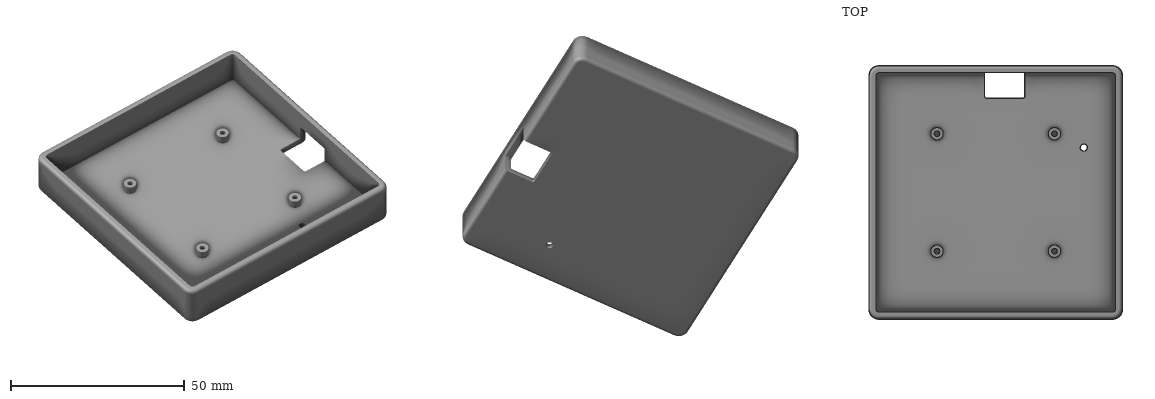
import cadquery as cq

side = 73.2
height = 12.5
wall = 2.05
floor = 2.05
corner_radius = 3.0
edge_radius = 1.0
cavity_corner_radius = corner_radius - wall

standoff_spacing = 33.9
standoff_diameter = 3.6
standoff_height = 2.5
pilot_diameter = 1.6

floor_hole_diameter = 2.0
floor_hole_x = 25.4
floor_hole_y = 12.95

opening_width = 11.6
opening_center_x = 2.55
opening_front_y = 27.2
opening_top_z = 6.95
opening_corner_radius = 0.5


def make_tray():
    """Rounded square tray, open at the top."""
    body = cq.Workplane("XY").rect(side, side).extrude(height)
    body = body.edges("|Z").fillet(corner_radius)
    body = body.faces("<Z or >Z").edges().fillet(edge_radius)
    cavity_side = side - 2 * wall
    cavity = cq.Workplane("XY", origin=(0, 0, floor)).rect(cavity_side, cavity_side).extrude(height)
    return body.cut(cavity.edges("|Z").fillet(cavity_corner_radius))


def make_opening():
    """Rounded block that removes part of the floor and the lower +Y wall."""
    length = side / 2 - opening_front_y + wall
    block = cq.Workplane("XY").box(opening_width, length, opening_top_z + floor, centered=(True, False, False))
    block = block.edges("|Z and <Y").fillet(opening_corner_radius)
    block = block.edges("|Y and >Z").fillet(opening_corner_radius)
    return block.translate((opening_center_x, opening_front_y, -floor))


def standoff_cylinders(diameter):
    """Four cylinders standing on the floor at the standoff positions."""
    return (
        cq.Workplane("XY", origin=(0, 0, floor))
        .rect(standoff_spacing, standoff_spacing, forConstruction=True)
        .vertices()
        .circle(diameter / 2)
        .extrude(standoff_height)
    )


floor_hole = (
    cq.Workplane("XY")
    .center(floor_hole_x, floor_hole_y)
    .circle(floor_hole_diameter / 2)
    .extrude(floor)
)

result = make_tray().cut(make_opening()).cut(floor_hole)
result = result.union(standoff_cylinders(standoff_diameter))
result = result.cut(standoff_cylinders(pilot_diameter))